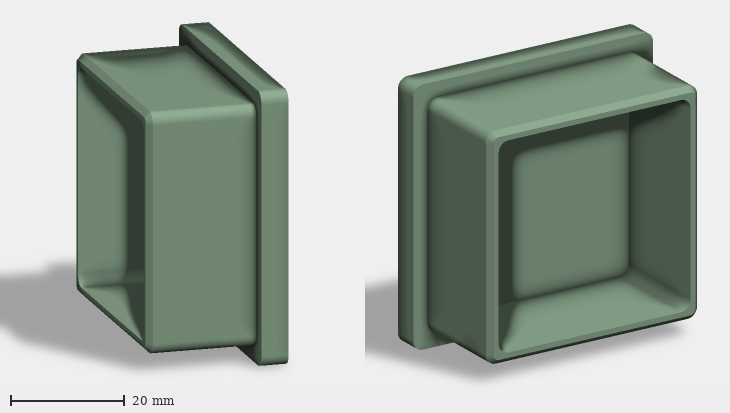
import cadquery as cq

flange_size = 50.0
flange_thickness = 5.0
plug_size = 44.0
plug_length = 20.0
wall_thickness = 2.0
corner_radius = 2.0
tip_chamfer = 1.0
cavity_depth = plug_length

cavity_size = plug_size - 2 * wall_thickness


def rounded_square_block(size, length):
    """Square block with rounded corners, centred on the Y axis, from Y = 0 to Y = -length."""
    return (
        cq.Workplane("XZ")
        .rect(size, size)
        .extrude(length)
        .edges("|Y")
        .fillet(corner_radius)
    )


def make_flange():
    return rounded_square_block(flange_size, flange_thickness).translate((0, flange_thickness, 0))


def make_plug():
    return rounded_square_block(plug_size, plug_length).faces("<Y").chamfer(tip_chamfer)


def make_cavity():
    floor_y = cavity_depth - plug_length
    return rounded_square_block(cavity_size, cavity_depth).translate((0, floor_y, 0))


result = make_flange().union(make_plug()).cut(make_cavity())